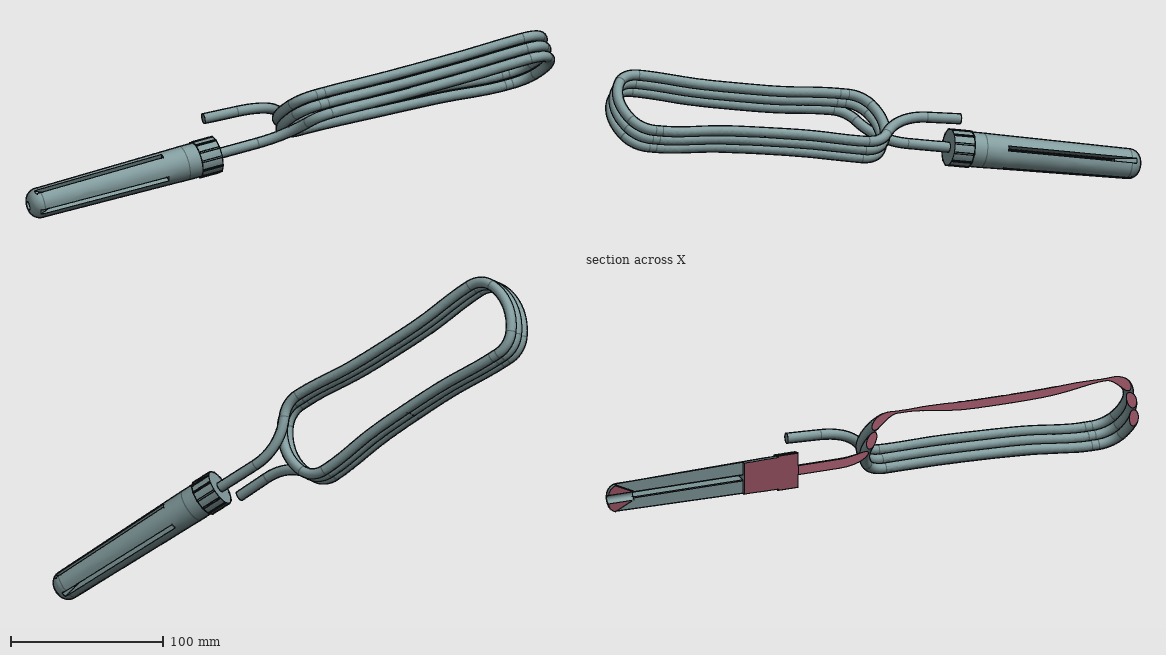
import cadquery as cq
import math


overall_length = 375.0

housing_length = 134.3
body_diameter = 23.0
tip_diameter = 20.0
cap_length = 14.3
cap_diameter = 24.0
collar_end = 23.3
tip_length = 8.3
tip_hole_diameter = 5.5

rib_count = 12
rib_width = 1.0
rib_tip_radius = 12.5

slot_width = 3.5
slot_start = 38.3
slot_ramp_start = 116.0
slot_end = 130.0

cable_diameter = 6.8
turn_gap = 0.55
turns = 3
coil_tilt = 55.3
coil_height = 53.5
coil_length = 187.0
corner_radius = 17.0
corner_sweep = 60.0
waist_depth = 3.8
lead_shift = 6.0
lower_far_straight = 5.0

strand_pitch = cable_diameter + turn_gap
coil_half_height = coil_height / 2
coil_far_end = overall_length - housing_length - cable_diameter / 2
coil_near_end = coil_far_end - coil_length

sweep_angle = math.radians(corner_sweep)
corner_rise = corner_radius * (1 - math.cos(sweep_angle))
corner_run = corner_radius * math.sin(sweep_angle)
seam_height = coil_half_height - corner_rise
end_radius = corner_radius + (coil_half_height - corner_radius) / math.cos(sweep_angle)
end_depth = end_radius - (end_radius - corner_radius) * math.sin(sweep_angle)
far_corner_y = coil_far_end - end_depth
near_corner_y = coil_near_end + end_depth
return_radius = seam_height / (1 - math.cos(sweep_angle))
lead_run = corner_run + return_radius * math.sin(sweep_angle)
upper_near_y = near_corner_y + lead_shift
lower_far_y = far_corner_y - lower_far_straight

height_direction = cq.Vector(math.cos(math.radians(coil_tilt)), 0, math.sin(math.radians(coil_tilt)))
turn_direction = cq.Vector(math.sin(math.radians(coil_tilt)), 0, -math.cos(math.radians(coil_tilt)))
forward = cq.Vector(0, 1, 0)
backward = cq.Vector(0, -1, 0)
lower_side_length = lower_far_y - near_corner_y
loose_direction = (backward * lower_side_length - turn_direction * strand_pitch).normalized()


def coil_point(y, height, turn):
    """Point at a place along Y, a height in the coil and a turn number (fractions allowed)."""
    return cq.Vector(0, y, 0) + height_direction * height - turn_direction * (turn * strand_pitch)


def turn_plane(corner_y, outward, turn):
    """Placing function for one turn: it takes the distance past a corner's tangent point, outward
    along Y (+1 at the far end, -1 at the near end), and the height in the coil."""

    def place(distance, height):
        return coil_point(corner_y + outward * distance, height, turn)

    return place


def corner_arc(place, side):
    """Corner from its tangent point on a long side to its seam; side is +1 on the upper and -1 on
    the lower long side."""

    def point(angle):
        height = coil_half_height - corner_radius * (1 - math.cos(angle))
        return place(corner_radius * math.sin(angle), side * height)

    return cq.Edge.makeThreePointArc(point(0), point(sweep_angle / 2), point(sweep_angle))


def return_arc(place, side):
    """Arc from a corner's seam back to the middle height of the coil."""

    def point(angle):
        height = return_radius * (1 - math.cos(angle))
        return place(lead_run - return_radius * math.sin(angle), side * height)

    return cq.Edge.makeThreePointArc(point(sweep_angle), point(sweep_angle / 2), point(0))


def coil_end(corner_y, outward, turn):
    """Two corners and the flatter arc between them, from one long side to the other."""
    place = turn_plane(corner_y, outward, turn)
    first_side = outward
    across = cq.Edge.makeThreePointArc(
        place(corner_run, first_side * seam_height),
        place(end_depth, 0),
        place(corner_run, -first_side * seam_height),
    )
    return [corner_arc(place, first_side), across, corner_arc(place, -first_side)]


def bowed_side(start, end, side, end_direction):
    """Long side between two (Y, turn) places. It bows inward and drifts evenly between the turns."""
    start_y, start_turn = start
    end_y, end_turn = end
    points = []
    for t in (0, 0.25, 0.5, 0.75, 1):
        height = coil_half_height - waist_depth * 4 * t * (1 - t)
        turn = start_turn + (end_turn - start_turn) * t
        points.append(coil_point(start_y + (end_y - start_y) * t, side * height, turn))
    start_direction = forward if end_y > start_y else backward
    return cq.Edge.makeSpline(points, tangents=[start_direction, end_direction])


def lead_edges():
    """From the housing along its axis, then up to the first turn's upper side."""
    place = turn_plane(upper_near_y, -1, 0)
    return [
        cq.Edge.makeLine(coil_point(0, 0, 0), place(lead_run, 0)),
        return_arc(place, 1),
        corner_arc(place, 1),
    ]


def turn_edges(turn):
    """One turn, from the near end of its upper side to the near end of its lower side."""
    side_end_direction = loose_direction if turn == turns - 1 else backward
    return [
        bowed_side((upper_near_y, turn), (far_corner_y, turn), 1, forward),
        *coil_end(far_corner_y, 1, turn),
        cq.Edge.makeLine(
            coil_point(far_corner_y, -coil_half_height, turn),
            coil_point(lower_far_y, -coil_half_height, turn),
        ),
        bowed_side((lower_far_y, turn), (near_corner_y, turn + 1), -1, side_end_direction),
    ]


def crossover_edges(turn):
    """From the near end of the last turn's lower side to the upper side of this turn."""
    return [
        *coil_end(near_corner_y, -1, turn),
        cq.Edge.makeLine(
            coil_point(near_corner_y, coil_half_height, turn),
            coil_point(upper_near_y, coil_half_height, turn),
        ),
    ]


def loose_end_edges():
    """The free end, which keeps the sideways slope of the lower side."""

    def place(distance, height):
        return coil_point(near_corner_y, height, turns) + loose_direction * distance

    return [
        corner_arc(place, -1),
        return_arc(place, -1),
        cq.Edge.makeLine(place(lead_run, 0), place(near_corner_y, 0)),
    ]


def cable_path():
    edges = lead_edges() + turn_edges(0)
    for turn in range(1, turns):
        edges += crossover_edges(turn) + turn_edges(turn)
    edges += loose_end_edges()
    return cq.Wire.assembleEdges(edges)


def make_cable():
    start_plane = cq.Plane(origin=(0, 0, 0), xDir=(1, 0, 0), normal=(0, 1, 0))
    return cq.Workplane(start_plane).circle(cable_diameter / 2).sweep(cable_path())


def housing_blank():
    """Cap, collar, tapered barrel and rounded tip, turned about the Y axis."""
    hole_radius = tip_hole_diameter / 2
    tip_radius = tip_diameter / 2
    nose_y = tip_length - housing_length
    bulge = math.sqrt(0.5)
    profile = (
        cq.Workplane("XY")
        .moveTo(0, 0)
        .lineTo(cap_diameter / 2, 0)
        .lineTo(cap_diameter / 2, -cap_length)
        .lineTo(body_diameter / 2, -cap_length)
        .lineTo(body_diameter / 2, -collar_end)
        .lineTo(tip_radius, nose_y)
        .threePointArc(
            (hole_radius + (tip_radius - hole_radius) * bulge, nose_y - tip_length * bulge),
            (hole_radius, -housing_length),
        )
        .lineTo(0, -housing_length)
        .close()
    )
    return profile.revolve(360, (0, 0, 0), (0, 1, 0))


def cap_ribs():
    """Grip ribs along the cap, evenly spaced around it."""
    ribs = cq.Workplane("XY")
    for i in range(rib_count):
        rib = (
            cq.Workplane("XY")
            .box(rib_tip_radius, cap_length, rib_width, centered=(False, False, True))
            .translate((0, -cap_length, 0))
            .rotate((0, 0, 0), (0, 1, 0), i * 360 / rib_count)
        )
        ribs = ribs.add(rib)
    return ribs.combine()


def slot_cutter():
    """Lengthwise slot from the axis outward, its floor ramping up to the surface near the tip."""
    hole_radius = tip_hole_diameter / 2
    ramp_top = tip_diameter / 2
    return (
        cq.Workplane("XY")
        .polyline([
            (0, -slot_start),
            (body_diameter, -slot_start),
            (body_diameter, -slot_end),
            (ramp_top, -slot_end),
            (hole_radius, -slot_ramp_start),
            (0, -slot_ramp_start),
        ])
        .close()
        .extrude(slot_width / 2, both=True)
    )


def make_housing():
    housing = housing_blank().union(cap_ribs())
    tip_hole = (
        cq.Workplane("XZ", origin=(0, -slot_start, 0))
        .circle(tip_hole_diameter / 2)
        .extrude(housing_length - slot_start)
    )
    housing = housing.cut(tip_hole)
    for quarter in range(4):
        housing = housing.cut(slot_cutter().rotate((0, 0, 0), (0, 1, 0), quarter * 90))
    return housing


cable = make_cable()
housing = make_housing()

result = cq.Compound.makeCompound([cable.val(), housing.val()])